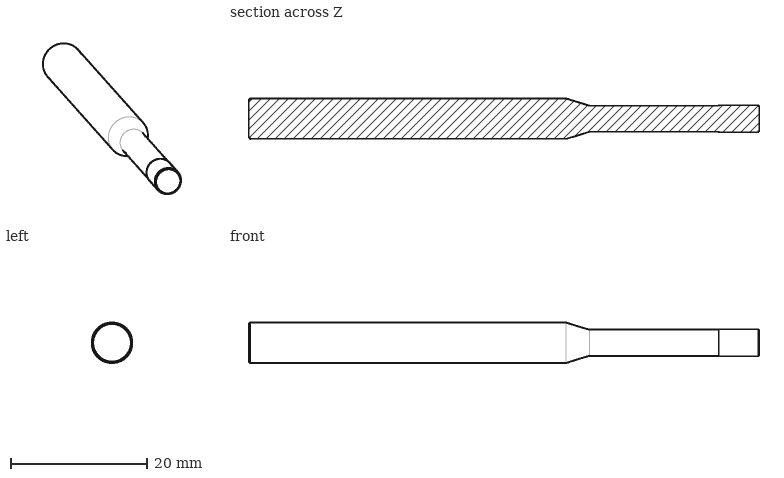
import cadquery as cq

total_length = 75.0
shank_radius = 3.0
tip_radius = 2.0

shank_length = 46.6
neck_start = 50.0
tip_length = 6.0
tip_start = total_length - tip_length

neck_relief = 0.05
neck_radius = tip_radius - neck_relief

shank_chamfer = 0.25
tip_chamfer = 0.2


def turned_profile():
    """Half section from the axis outward, on the XY plane."""
    return (
        cq.Workplane("XY")
        .moveTo(0, 0)
        .lineTo(0, shank_radius - shank_chamfer)
        .lineTo(shank_chamfer, shank_radius)
        .lineTo(shank_length, shank_radius)
        .lineTo(neck_start, neck_radius)
        .lineTo(tip_start, neck_radius)
        .lineTo(tip_start, tip_radius)
        .lineTo(total_length - tip_chamfer, tip_radius)
        .lineTo(total_length, tip_radius - tip_chamfer)
        .lineTo(total_length, 0)
        .close()
    )


result = turned_profile().revolve(360, (0, 0, 0), (1, 0, 0))